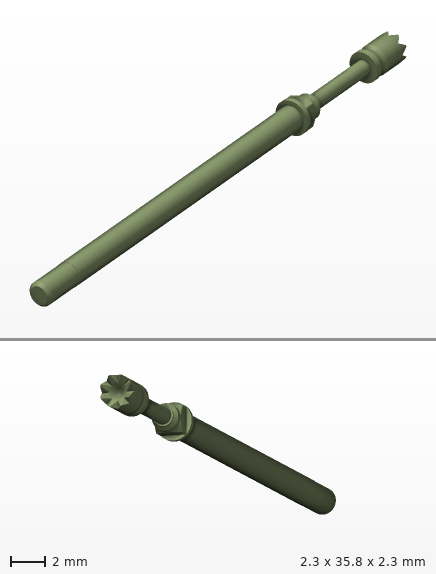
import cadquery as cq
import math

total_length = 35.8
tip_y = total_length / 2
tail_y = -tip_y

head_dia = 2.0
head_groove_dia = 1.8
stem_dia = 1.0
nose_dia = 1.2
barrel_dia = 1.65
flange_dia = 2.3
tail_dia = 1.6
tail_end_dia = 1.2

head_groove_y = tip_y - 1.97
head_groove_width = 0.65
head_back_y = tip_y - 3.0
nose_y = tip_y - 8.2
nose_land = 0.1
square_y = tip_y - 8.95
flange_y = tip_y - 9.95
flange_width = 0.32

tail_length = 2.97
tail_chamfer_length = 0.2

tooth_count = 8
notch_depth = 0.5
notch_width = 0.68
cup_angle = 90.0

square_side = barrel_dia
square_corner_dia = 2.25


def turned(points):
    """Revolve (radius, y) points, closed along the axis, about Y."""
    first_y = points[0][1]
    last_y = points[-1][1]
    outline = [(0, first_y)] + points + [(0, last_y)]
    return cq.Workplane("XY").polyline(outline).close().revolve(360, (0, 0), (0, 1))


def make_plunger():
    """Crown head with a V groove, on a thin stem that enters the barrel."""
    head_radius = head_dia / 2
    stem_radius = stem_dia / 2
    return turned([
        (head_radius, tip_y),
        (head_radius, head_groove_y),
        (head_groove_dia / 2, head_groove_y - head_groove_width / 2),
        (head_radius, head_groove_y - head_groove_width),
        (head_radius, head_back_y),
        (stem_radius, head_back_y),
        (stem_radius, flange_y),
    ])


def make_barrel():
    """Nose with a 45 degree chamfer, flange, long barrel and the slightly thinner tail."""
    nose_radius = nose_dia / 2
    barrel_radius = barrel_dia / 2
    nose_chamfer = barrel_radius - nose_radius
    flange_radius = flange_dia / 2
    tail_radius = tail_dia / 2
    flange_back_y = flange_y - flange_width
    tail_front_y = tail_y + tail_length
    return turned([
        (nose_radius, nose_y),
        (nose_radius, nose_y - nose_land),
        (barrel_radius, nose_y - nose_land - nose_chamfer),
        (barrel_radius, flange_y),
        (flange_radius, flange_y),
        (flange_radius, flange_back_y),
        (barrel_radius, flange_back_y),
        (barrel_radius, tail_front_y),
        (tail_radius, tail_front_y),
        (tail_radius, tail_y + tail_chamfer_length),
        (tail_end_dia / 2, tail_y),
    ])


def make_square():
    """Square with a 45 degree cone on its front corners, which leaves an arc on each flat."""
    corner_radius = square_corner_dia / 2
    cone_length = corner_radius - barrel_dia / 2
    blank = turned([
        (barrel_dia / 2, square_y),
        (corner_radius, square_y - cone_length),
        (corner_radius, flange_y),
    ])
    square_length = square_y - flange_y
    block = cq.Workplane("XY").box(square_side, square_length, square_side)
    block = block.translate((0, (square_y + flange_y) / 2, 0))
    return blank.intersect(block)


def make_notch_cutter():
    """V prism along X that cuts two opposite notches of the crown."""
    half_width = notch_width / 2
    return (
        cq.Workplane("YZ")
        .polyline([(tip_y - notch_depth, 0), (tip_y, half_width), (tip_y, -half_width)])
        .close()
        .extrude(head_dia, both=True)
    )


def cut_crown(plunger):
    """Hollow the tip with a cone, then cut the notches between the teeth."""
    cup_depth = head_dia / 2 / math.tan(math.radians(cup_angle / 2))
    cup = cq.Solid.makeCone(
        head_dia / 2, 0, cup_depth, pnt=cq.Vector(0, tip_y, 0), dir=cq.Vector(0, -1, 0)
    )
    crown = plunger.cut(cq.Workplane(cup))
    cutter = make_notch_cutter()
    for index in range(tooth_count // 2):
        angle = index * 360 / tooth_count
        crown = crown.cut(cutter.rotate((0, 0, 0), (0, 1, 0), angle))
    return crown


result = cut_crown(make_plunger()).union(make_barrel()).union(make_square())